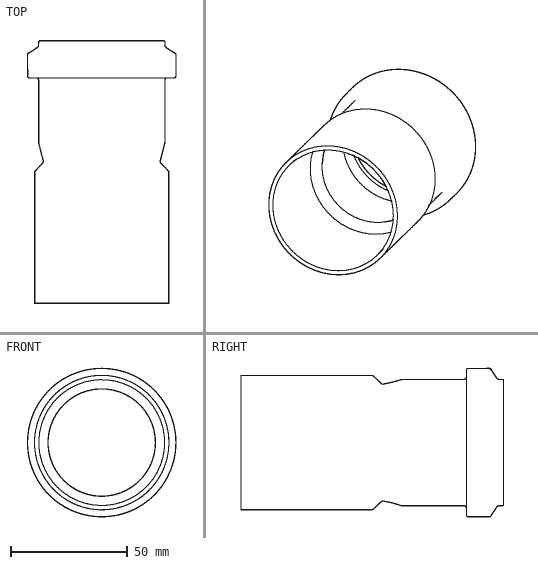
import cadquery as cq
import math

pipe_radius = 58.0 / 2
pipe_bore = 54.2 / 2
wall = pipe_radius - pipe_bore
socket_radius = 54.6 / 2
collar_radius = 64.1 / 2
neck_radius = 25.1
neck_bore_radius = 46.2 / 2

length = 113.2
lip_length = 2.6
collar_start = 5.7
collar_end = 16.1
taper_start = 43.9
neck_position = 52.3
shoulder_position = 56.4

lip_round = 0.6
bend_round = 0.9


def slope(rise, run):
    """Angle of a conical wall to the axis."""
    return math.atan2(rise, run)


def wall_shift(angle_before, angle_after):
    """Axial shift between the outer and inner corner of a bent wall."""
    return wall * math.tan((angle_before + angle_after) / 2)


def revolve_outline(corners):
    """Solid of revolution about Y from (distance from mouth, radius) corners."""
    points = [(0, length)]
    points += [(radius, length - distance) for distance, radius in corners]
    points += [(0, 0)]
    return cq.Workplane("XY").polyline(points).close().revolve(360, (0, 0, 0), (0, 1, 0))


def outer_body():
    body = revolve_outline([
        (0, socket_radius),
        (lip_length, socket_radius),
        (collar_start, collar_radius),
        (collar_end, collar_radius),
        (collar_end, socket_radius),
        (taper_start, socket_radius),
        (neck_position, neck_radius),
        (shoulder_position, pipe_radius),
        (length, pipe_radius),
    ])
    body = body.faces(">Y").edges().fillet(lip_round)
    rounded_bends = [lip_length, collar_start, collar_end, neck_position, shoulder_position]
    margin = 0.06
    reach = 2 * collar_radius
    for distance in rounded_bends:
        y = length - distance
        ring = cq.selectors.BoxSelector(
            (-reach, y - margin, -reach), (reach, y + margin, reach), boundingbox=True
        )
        body = body.edges(ring).edges("%CIRCLE").fillet(bend_round)
    return body


def bore():
    collar_angle = slope(collar_radius - socket_radius, collar_start - lip_length)
    taper_angle = slope(neck_radius - socket_radius, neck_position - taper_start)
    shoulder_angle = slope(pipe_radius - neck_radius, shoulder_position - neck_position)
    socket_bore = socket_radius - wall
    groove_radius = collar_radius - wall
    groove_end = collar_end - wall
    return revolve_outline([
        (0, socket_bore),
        (lip_length + wall_shift(0, collar_angle), socket_bore),
        (collar_start + wall_shift(collar_angle, 0), groove_radius),
        (groove_end, groove_radius),
        (groove_end, socket_bore),
        (taper_start + wall_shift(0, taper_angle), socket_bore),
        (neck_position + wall_shift(taper_angle, shoulder_angle), neck_bore_radius),
        (shoulder_position + wall_shift(shoulder_angle, 0), pipe_bore),
        (length, pipe_bore),
    ])


result = outer_body().cut(bore())